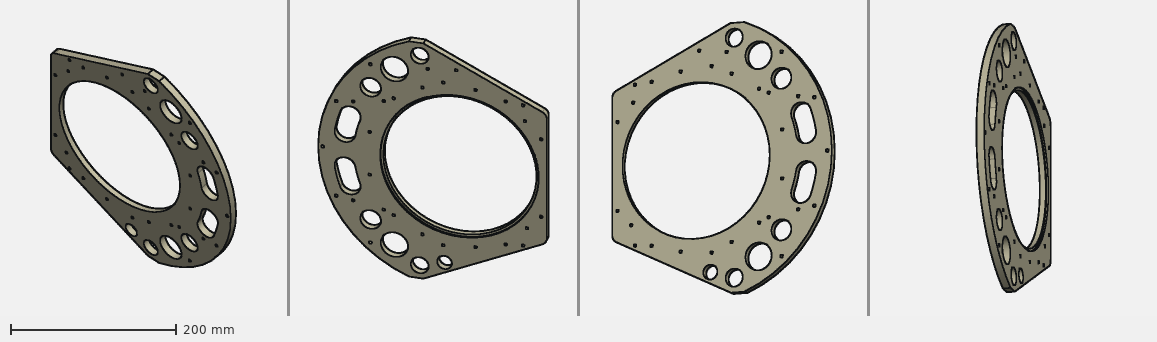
import cadquery as cq
import math

thickness = 10.0
height = 332.5
length = 288.0
outer_radius = 178.0
bore_diameter = 193.0

step_diameter = 199.5
step_depth = 2.3

half_height = height / 2
left_x = outer_radius - length
left_corner_z = 90.8
flat_start_x = 45.2
flat_end_x = math.sqrt(outer_radius**2 - half_height**2)
corner_radius = 10.0

mirrored_openings = [
    (50.0, 148.0, 22.3),
    (81.8, 124.0, 34.3),
    (111.8, 93.5, 26.0),
]

single_opening = (18.5, -139.0, 18.3)

slot_path_radius = 146.0
slot_width = 26.3
slot_start_angle = 9.5
slot_end_angle = 19.6

inner_hole_diameter = 3.3
inner_circle_radius = 116.8
inner_hole_angles = [15, 45, 80, 120, 152]

mirrored_small_holes = [
    (133.7, 70.0),
    (95.0, 77.0),
    (46.5, 103.8),
    (-20.3, 111.0),
    (-80.2, 99.0),
]

single_small_holes = [
    (4.0, 135.0),
    (40.0, 131.0),
    (-82.5, 77.2),
    (-85.0, -74.0),
]

rim_hole_diameter = 3.5
rim_end_hole = (172.0, 0.0)
mirrored_rim_holes = [
    (155.0, 67.0),
    (112.0, 126.0),
]


def polar(radius, angle):
    """Point (x, z) at an angle in degrees around the bore axis."""
    radians = math.radians(angle)
    return (radius * math.cos(radians), radius * math.sin(radians))


def mirrored(points):
    """The points together with their reflections below the X axis."""
    return points + [(x, -z) for x, z in points]


def drill(plate, points, diameter, depth=thickness):
    """Cut holes of one diameter from the +Y face, right through unless a depth is given."""
    tools = cq.Workplane("XZ").pushPoints(points).circle(diameter / 2).extrude(depth)
    return plate.cut(tools)


def make_blank():
    blank = (
        cq.Workplane("XZ")
        .moveTo(left_x, -left_corner_z)
        .lineTo(flat_start_x, -half_height)
        .lineTo(flat_end_x, -half_height)
        .threePointArc((outer_radius, 0), (flat_end_x, half_height))
        .lineTo(flat_start_x, half_height)
        .lineTo(left_x, left_corner_z)
        .close()
        .extrude(thickness)
    )
    return blank.edges("|Y and <X").fillet(corner_radius)


def make_slot():
    """Solid filling the upper slot: two concentric arcs joined by round ends."""
    inner = slot_path_radius - slot_width / 2
    outer = slot_path_radius + slot_width / 2
    middle_angle = (slot_start_angle + slot_end_angle) / 2
    end_cap_angle = math.degrees(slot_width / 2 / slot_path_radius)
    return (
        cq.Workplane("XZ")
        .moveTo(*polar(outer, slot_start_angle))
        .threePointArc(polar(outer, middle_angle), polar(outer, slot_end_angle))
        .threePointArc(
            polar(slot_path_radius, slot_end_angle + end_cap_angle),
            polar(inner, slot_end_angle),
        )
        .threePointArc(polar(inner, middle_angle), polar(inner, slot_start_angle))
        .threePointArc(
            polar(slot_path_radius, slot_start_angle - end_cap_angle),
            polar(outer, slot_start_angle),
        )
        .close()
        .extrude(thickness)
    )


plate = drill(make_blank(), [(0, 0)], bore_diameter)
plate = drill(plate, [(0, 0)], step_diameter, step_depth)

for x, z, diameter in mirrored_openings:
    plate = drill(plate, mirrored([(x, z)]), diameter)
single_x, single_z, single_diameter = single_opening
plate = drill(plate, [(single_x, single_z)], single_diameter)

upper_slot = make_slot()
plate = plate.cut(upper_slot).cut(upper_slot.mirror("XY"))

inner_circle_holes = [polar(inner_circle_radius, angle) for angle in inner_hole_angles]
small_holes = mirrored(inner_circle_holes + mirrored_small_holes) + single_small_holes
plate = drill(plate, small_holes, inner_hole_diameter)
plate = drill(plate, mirrored(mirrored_rim_holes) + [rim_end_hole], rim_hole_diameter)

result = plate